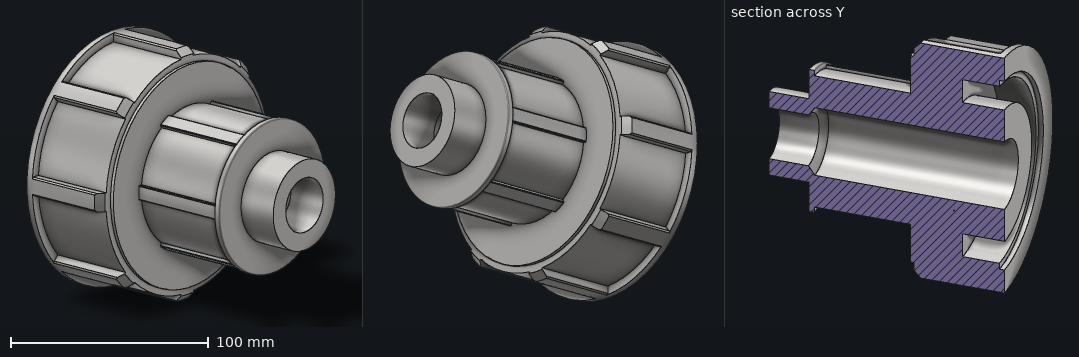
import cadquery as cq
flange_end = 3.8
nut_end = 49.3
washer_end = 51.2
barrel_end = 103.0
collar_end = 106.4
total_length = 128.0

nut_rib_diameter = 134.0
nut_body_diameter = 124.9
washer_diameter = 117.9
barrel_diameter = 75.0
collar_diameter = 81.2
spigot_diameter = 47.8

nut_rib_count = 8
nut_rib_width = 9.8
nut_rib_edge_chamfer = 1.0
nut_rib_end_chamfer = 3.8

barrel_rib_count = 6
barrel_rib_diameter = 78.8
barrel_rib_width = 7.6
barrel_rib_edge_chamfer = 0.5

collar_edge_fillet = 0.4

mouth_diameter = 107.2
mouth_depth = 2.7
recess_diameter = 100.5
recess_depth = 22.6

bore_entry_diameter = 38.2
bore_exit_diameter = 28.7


def disc(start, end, diameter):
    """Solid cylinder on the X axis between two stations."""
    return cq.Workplane("YZ").workplane(offset=start).circle(diameter / 2).extrude(end - start)


def around_axis(shape, count):
    """Copies of a shape, evenly spaced around the X axis."""
    ring = shape
    for index in range(1, count):
        ring = ring.union(shape.rotate((0, 0, 0), (1, 0, 0), index * 360 / count))
    return ring


def rib_ring(start, end, diameter, width, edge_chamfer, count):
    """Ring of ribs along X with chamfered outer edges, with flat crowns tangent to the given diameter."""
    rib = (
        cq.Workplane("XY")
        .box(end - start, diameter / 2, width, centered=(False, False, True))
        .edges("|X and >Y")
        .chamfer(edge_chamfer)
        .translate((start, 0, 0))
    )
    return around_axis(rib, count)


def nut_ribs():
    """Grip ribs with crowns on the flange cylinder and bevelled ends."""
    ribs = rib_ring(
        flange_end, nut_end, nut_rib_diameter, nut_rib_width, nut_rib_edge_chamfer, nut_rib_count
    )
    envelope = disc(0, nut_end, nut_rib_diameter).faces(">X").chamfer(nut_rib_end_chamfer)
    return ribs.intersect(envelope)


def nut():
    """Ribbed nut with a flange and a stepped recess."""
    body = disc(0, flange_end, nut_rib_diameter)
    body = body.union(disc(flange_end, nut_end, nut_body_diameter))
    body = body.union(nut_ribs())
    body = body.cut(disc(0, mouth_depth, mouth_diameter))
    return body.cut(disc(0, recess_depth, recess_diameter))


def barrel_ribs():
    """Low ribs with rounded crowns between the washer and the collar."""
    ribs = rib_ring(
        washer_end, barrel_end, barrel_rib_diameter, barrel_rib_width, barrel_rib_edge_chamfer, barrel_rib_count
    )
    return ribs.intersect(disc(washer_end, barrel_end, barrel_rib_diameter))


def barrel():
    """Solid barrel with its washer, ribs, collar and spigot."""
    body = disc(0, barrel_end, barrel_diameter)
    body = body.union(disc(nut_end, washer_end, washer_diameter))
    body = body.union(barrel_ribs())
    collar = disc(barrel_end, collar_end, collar_diameter).edges().fillet(collar_edge_fillet)
    body = body.union(collar)
    return body.union(disc(collar_end, total_length, spigot_diameter))


def bore():
    """Through bore revolved about the X axis."""
    entry_radius = bore_entry_diameter / 2
    exit_radius = bore_exit_diameter / 2
    return (
        cq.Workplane("XY")
        .moveTo(0, 0)
        .lineTo(0, entry_radius)
        .lineTo(barrel_end, entry_radius)
        .lineTo(collar_end, exit_radius)
        .lineTo(total_length, exit_radius)
        .lineTo(total_length, 0)
        .close()
        .revolve(360, (0, 0, 0), (1, 0, 0))
    )


result = nut().union(barrel()).cut(bore())